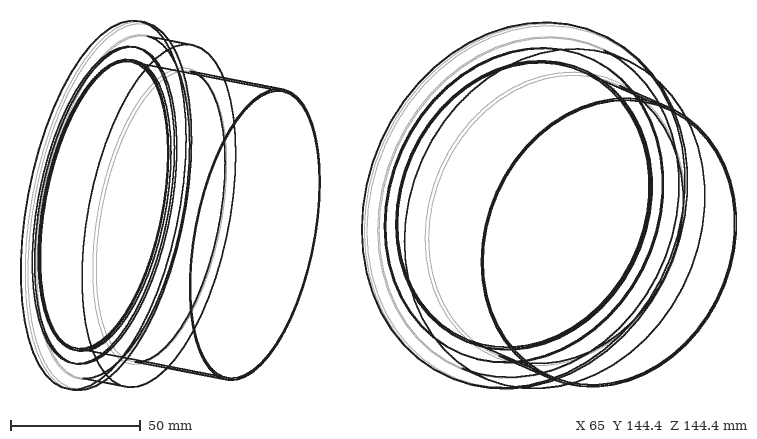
import cadquery as cq
import math

total_length = 65.0

flange_radius = 72.2
rim_width = 1.8
rim_round = 0.9
cone_angle = 16.0
cone_root_fillet = 0.5

collar_radius = 67.1
collar_end = 23.8

pipe_radius = 57.0
pipe_wall = 0.8
pipe_root_fillet = 1.0
bore_radius = pipe_radius - pipe_wall

recess_radius = 62.1
recess_depth = 1.0

AXIS_START = (0, 0, 0)
AXIS_END = (1, 0, 0)


def point_on_arc(center, radius, angle):
    """Point at an angle in degrees, measured from +X, on an arc about center."""
    x = center[0] + radius * math.cos(math.radians(angle))
    r = center[1] + radius * math.sin(math.radians(angle))
    return (x, r)


def add_arc(profile, center, radius, start_angle, end_angle):
    """Draw a line to the start of an arc, then the arc itself."""
    start = point_on_arc(center, radius, start_angle)
    middle = point_on_arc(center, radius, (start_angle + end_angle) / 2)
    end = point_on_arc(center, radius, end_angle)
    return profile.lineTo(*start).threePointArc(middle, end)


def cone_root_center(rim_center):
    """Center of the fillet that is tangent to both the cone and the collar."""
    radial = collar_radius + cone_root_fillet
    slope = math.radians(cone_angle)
    drop = rim_center[1] - radial
    axial = rim_center[0] + drop * math.tan(slope) + (rim_round + cone_root_fillet) / math.cos(slope)
    return (axial, radial)


def make_profile():
    """Half section of the ring, drawn as axial position against radius."""
    rim_center = (rim_width, flange_radius - rim_round)
    root_center = cone_root_center(rim_center)
    pipe_root_center = (collar_end + pipe_root_fillet, pipe_radius + pipe_root_fillet)

    profile = (
        cq.Workplane("XY")
        .moveTo(0, bore_radius)
        .lineTo(0, pipe_radius)
        .lineTo(recess_depth, pipe_radius)
        .lineTo(recess_depth, recess_radius)
        .lineTo(0, recess_radius)
        .lineTo(0, flange_radius)
    )
    profile = add_arc(profile, rim_center, rim_round, 90, cone_angle)
    profile = add_arc(profile, root_center, cone_root_fillet, 180 + cone_angle, 270)
    profile = profile.lineTo(collar_end, collar_radius)
    profile = add_arc(profile, pipe_root_center, pipe_root_fillet, 180, 270)
    return profile.lineTo(total_length, pipe_radius).lineTo(total_length, bore_radius).close()


result = make_profile().revolve(360, AXIS_START, AXIS_END)